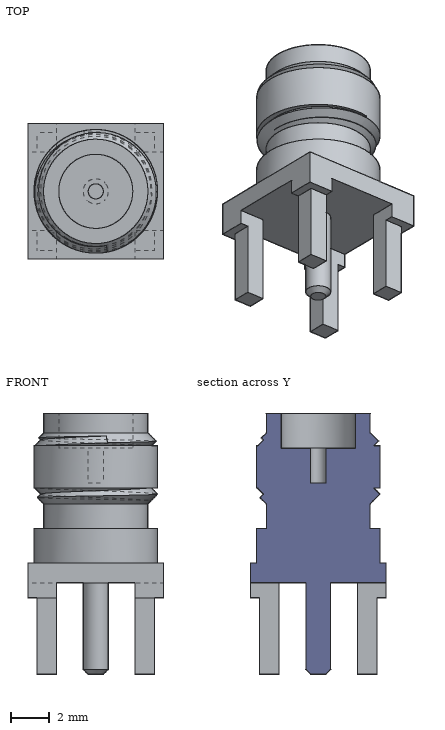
import cadquery as cq

total_height = 13.47

plate_side = 7.0
plate_top = 5.75
plate_underside = 4.71
pad_bottom = 3.95
pad_inner = 2.02
leg_side = 1.02

pin_radius = 0.65
pin_chamfer = 0.25

major_radius = 3.19
neck_radius = 2.7
flange_top = 7.53
bore_radius = 1.91
bore_depth = 1.79
contact_radius = 0.39
contact_depth = bore_depth

thread_bottom = 8.8
thread_top = 12.46
pitch = 0.7
thread_depth = pitch / 2
cutter_overrun = 0.07
groove_end_z = 12.3
groove_end_angle = 281
thread_turns = 5
open_half_turns = 3

band_bottom = 9.6
band_top = 11.8


def cylinder(radius, bottom, top):
    return cq.Workplane("XY").workplane(offset=bottom).circle(radius).extrude(top - bottom)


def corner_blocks(inner, side, bottom, top):
    """Four square blocks, one per corner, whose inner faces lie at `inner` from the axis."""
    centre = inner + side / 2
    return (
        cq.Workplane("XY")
        .workplane(offset=bottom)
        .rect(2 * centre, 2 * centre, forConstruction=True)
        .vertices()
        .rect(side, side)
        .extrude(top - bottom)
    )


def base():
    plate = (
        cq.Workplane("XY")
        .workplane(offset=plate_underside)
        .rect(plate_side, plate_side)
        .extrude(plate_top - plate_underside)
    )
    pads = corner_blocks(pad_inner, plate_side / 2 - pad_inner, pad_bottom, plate_underside)
    legs = corner_blocks(pad_inner, leg_side, 0, pad_bottom)
    pin = cylinder(pin_radius, 0, plate_underside).faces("<Z").chamfer(pin_chamfer)
    return plate.union(pads).union(legs).union(pin)


def thread_blank():
    """Solid sleeve at the crest diameter, bevelled at 45 degrees down to the neck at both ends."""
    bevel = major_radius - neck_radius
    return cylinder(major_radius, thread_bottom, thread_top).faces("<Z or >Z").chamfer(bevel)


def groove_half_turn(turns_from_end):
    """Cutter for the half turn of groove that starts this many turns below the upper stop."""
    root_radius = major_radius - thread_depth
    cutter_depth = thread_depth + cutter_overrun
    outer_radius = root_radius + cutter_depth
    helix = cq.Wire.makeHelix(pitch, pitch / 2, root_radius)
    cutter = (
        cq.Workplane("XZ")
        .polyline([(root_radius, 0), (outer_radius, cutter_depth), (outer_radius, -cutter_depth)])
        .close()
        .sweep(cq.Workplane(obj=helix), isFrenet=True)
    )
    start_angle = groove_end_angle - 360 * turns_from_end
    start_z = groove_end_z - pitch * turns_from_end
    return cutter.rotate((0, 0, 0), (0, 0, 1), start_angle).translate((0, 0, start_z))


def thread():
    """Sleeve with the groove cut in half turns at both ends and the band over its middle."""
    sleeve = thread_blank()
    for index in range(open_half_turns):
        sleeve = sleeve.cut(groove_half_turn((index + 1) / 2))
        sleeve = sleeve.cut(groove_half_turn(thread_turns - index / 2))
    return sleeve.union(cylinder(major_radius, band_bottom, band_top))


def barrel():
    flange = cylinder(major_radius, plate_top, flange_top)
    neck = cylinder(neck_radius, flange_top, total_height)
    return flange.union(neck).union(thread())


def bores():
    bore_floor = total_height - bore_depth
    bore = cylinder(bore_radius, bore_floor, total_height)
    contact_hole = cylinder(contact_radius, bore_floor - contact_depth, bore_floor)
    return bore.union(contact_hole)


result = base().union(barrel()).cut(bores())